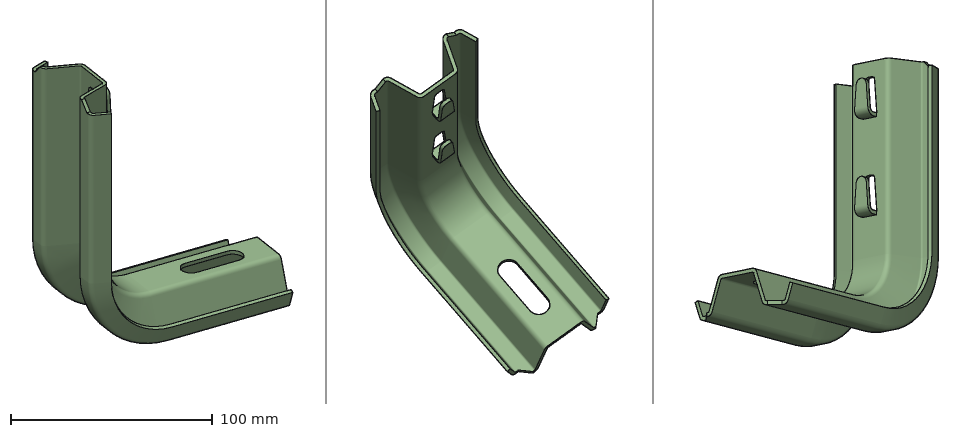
import cadquery as cq
import math

height = 145.0
depth = 120.0
width = 64.2

sheet = 2.0
inner_bend = 1.0
outer_bend = inner_bend + sheet
section_height = 20.0
crown_half_flat = 9.9
foot_flat = 7.0
web_angle = math.radians(20.3)

crown_bend_radius = 25.0
bend_centre = section_height + crown_bend_radius

trim_length = 5.1
trim_inner_x = 19.9

slot_length = 35.0
slot_width = 11.0
slot_end_gap = 15.1

window_top_gap = 8.0
window_height = 18.8
window_top_half = 2.9
window_bottom_half = 4.5
window_corner = 2.0
hook_reach = 6.5
hook_tip_drop = 1.7
hook_tip_radius = 3.3
hook_inner_bend = 1.9
hook_outer_bend = hook_inner_bend + sheet
hook_pitch = 50.0
hook_count = 2

crown_fold = (crown_half_flat, section_height - outer_bend)
fold_drop = crown_fold[1] - outer_bend
fold_run = (inner_bend + outer_bend + fold_drop * math.sin(web_angle)) / math.cos(web_angle)
foot_fold = (crown_half_flat + fold_run, outer_bend)
lip_fold = (foot_fold[0] + foot_flat, outer_bend)


def on_circle(centre, radius, angle):
    return (centre[0] + radius * math.cos(angle), centre[1] + radius * math.sin(angle))


def arc_points(centre, radius, start, end):
    return [on_circle(centre, radius, a) for a in (start, (start + end) / 2, end)]


def right_half_arcs(crown_radius, foot_radius):
    """Fold arcs along one face of the sheet, from the crown out to the lip."""
    up, down = math.pi / 2, -math.pi / 2
    web_inward = web_angle - math.pi
    return [
        arc_points(crown_fold, crown_radius, up, web_angle),
        arc_points(foot_fold, foot_radius, web_inward, down),
        arc_points(lip_fold, foot_radius, down, -web_angle),
    ]


def mirrored(arcs):
    return [[(-x, y) for x, y in reversed(arc)] for arc in reversed(arcs)]


def backwards(arcs):
    return [list(reversed(arc)) for arc in reversed(arcs)]


def lip_tips():
    """Ends of the right lip: the outer corner at full width, then the inner one."""
    start = on_circle(lip_fold, outer_bend, -web_angle)
    outer_x = width / 2
    outer_y = start[1] + (outer_x - start[0]) / math.tan(web_angle)
    inner_x = outer_x - sheet * math.cos(web_angle)
    inner_y = outer_y + sheet * math.sin(web_angle)
    return (outer_x, outer_y), (inner_x, inner_y)


def draw_section(plane):
    """Closed hat section on a workplane whose local y points to the crown."""
    under = right_half_arcs(inner_bend, outer_bend)
    upper = right_half_arcs(outer_bend, inner_bend)
    outer_tip, inner_tip = lip_tips()

    def follow(outline, arcs):
        for start, middle, end in arcs:
            outline = outline.lineTo(*start).threePointArc(middle, end)
        return outline

    outline = plane.moveTo(-outer_tip[0], outer_tip[1])
    outline = follow(outline, mirrored(under) + under)
    outline = outline.lineTo(*outer_tip).lineTo(*inner_tip)
    outline = follow(outline, backwards(upper) + backwards(mirrored(upper)))
    return outline.lineTo(-inner_tip[0], inner_tip[1]).close()


def corner_cut(plane, end, side):
    """Prism removing a lip and half a foot; local y runs along the leg to its end."""
    clear = width
    trim_start = end - trim_length
    points = [
        (trim_inner_x, end),
        (trim_inner_x + trim_length, trim_start),
        (clear, trim_start),
        (clear, end + trim_length),
        (trim_inner_x, end + trim_length),
    ]
    outline = plane.polyline([(side * x, y) for x, y in points]).close()
    return outline.extrude(section_height, both=True)


def channel():
    upright_plane = cq.Workplane("XY", origin=(0, 0, bend_centre))
    level_plane = cq.Workplane("XZ", origin=(0, bend_centre, 0))
    upright = draw_section(upright_plane).extrude(height - bend_centre)
    level = draw_section(level_plane).extrude(bend_centre - depth)
    bend = draw_section(upright_plane).revolve(90, (0, bend_centre, 0), (1, bend_centre, 0))
    body = upright.union(bend).union(level)
    for side in (-1, 1):
        body = body.cut(corner_cut(cq.Workplane("XZ"), height, side))
        body = body.cut(corner_cut(cq.Workplane("XY"), depth, side))
    return body


def slot():
    centre_y = depth - slot_end_gap - slot_length / 2
    plane = cq.Workplane("XY", origin=(0, centre_y, 0))
    return plane.slot2D(slot_length, slot_width, 90).extrude(section_height)


def window(bottom_z):
    """Tapered opening left behind by a hook."""
    return (
        cq.Workplane("XZ", origin=(0, 0, bottom_z))
        .moveTo(-window_bottom_half, 0)
        .lineTo(window_bottom_half, 0)
        .lineTo(window_top_half, window_height)
        .lineTo(-window_top_half, window_height)
        .close()
        .extrude(-section_height)
        .edges("|Y and >Z")
        .fillet(window_corner)
    )


def hook(bottom_z):
    """Tongue standing out below its window, folded upward and tapered to a round tip."""
    tip_z = window_height - hook_tip_drop
    far_y = section_height + hook_reach
    near_y = far_y - sheet
    side_view = (
        cq.Workplane("YZ", origin=(0, 0, bottom_z))
        .moveTo(section_height - sheet, -sheet)
        .lineTo(far_y - hook_outer_bend, -sheet)
        .radiusArc((far_y, hook_inner_bend), -hook_outer_bend)
        .lineTo(far_y, tip_z)
        .lineTo(near_y, tip_z)
        .lineTo(near_y, hook_inner_bend)
        .radiusArc((near_y - hook_inner_bend, 0), hook_inner_bend)
        .lineTo(section_height - sheet, 0)
        .close()
        .extrude(window_bottom_half, both=True)
    )
    taper = math.atan((window_bottom_half - window_top_half) / window_height)
    tip_centre = (0, tip_z - hook_tip_radius)
    tip_right = on_circle(tip_centre, hook_tip_radius, taper)
    front_view = (
        cq.Workplane("XZ", origin=(0, 0, bottom_z))
        .moveTo(-window_bottom_half, -sheet)
        .lineTo(window_bottom_half, -sheet)
        .lineTo(window_bottom_half, 0)
        .lineTo(*tip_right)
        .threePointArc((0, tip_z), (-tip_right[0], tip_right[1]))
        .lineTo(-window_bottom_half, 0)
        .close()
        .extrude(-far_y)
    )
    return side_view.intersect(front_view)


result = channel().cut(slot())
for index in range(hook_count):
    window_bottom = height - window_top_gap - window_height - index * hook_pitch
    result = result.cut(window(window_bottom)).union(hook(window_bottom))